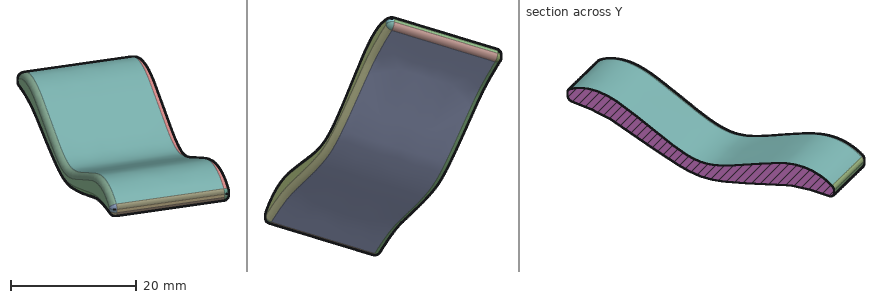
import cadquery as cq

length = 50
width = 20
height = 9.5
edge_radius = 1

end_x = length / 2
crest_x = 19.3
valley_top_z = 3
end_top_z = 7.5
end_bottom_z = 5.45

upper_half = [
    (5.15, 4.25),
    (8.8, 5.9),
    (12.4, 7.55),
    (15.75, 8.9),
    (crest_x, height),
    (22.5, 8.95),
    (end_x, end_top_z),
]
lower_half = [
    (4.25, 0.65),
    (8.8, 2.05),
    (13.3, 3.65),
    (16.9, 4.8),
    (20.5, 5.35),
    (end_x, end_bottom_z),
]


def mirrored_wave(half_points, valley_z):
    """Points of a symmetric wave, running from the left end to the right end."""
    left_half = [(-x, z) for x, z in reversed(half_points)]
    return left_half + [(0, valley_z)] + half_points


upper_wave = mirrored_wave(upper_half, valley_top_z)
lower_wave = mirrored_wave(lower_half, 0)

profile = (
    cq.Workplane("XZ", origin=(0, width / 2, 0))
    .moveTo(*upper_wave[0])
    .spline(upper_wave[1:], includeCurrent=True)
    .lineTo(*lower_wave[-1])
    .spline(lower_wave[-2::-1], includeCurrent=True)
    .close()
)

result = profile.extrude(width).edges().fillet(edge_radius)